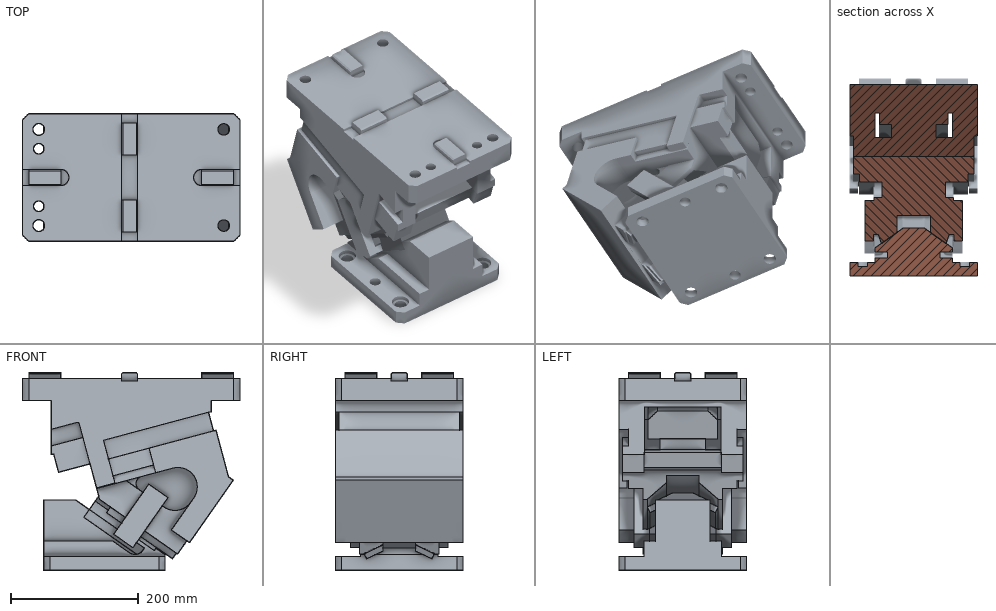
import cadquery as cq
import math


LENGTH = 340.0
WIDTH = 200.0
HEIGHT = 309.0
HALF_WIDTH = WIDTH / 2
CLEAR = 680.0

SLIDE_ANGLE = 15.0
RAIL_ANGLE = 35.0
ROOF_ANGLE = 30.0

GUIDE_ORIGIN = (-54.5, 129.0)
RAIL_ORIGIN = (-74.0, 83.0)


def direction(angle):
    return (math.cos(math.radians(angle)), math.sin(math.radians(angle)))


def framed(origin, angle, along, above):
    """X, Z of a point given along and square to a line through origin."""
    ax, az = direction(angle)
    return (origin[0] + along * ax - above * az, origin[1] + along * az + above * ax)


def guide(along, above):
    return framed(GUIDE_ORIGIN, SLIDE_ANGLE, along, above)


def rail(along, above):
    return framed(RAIL_ORIGIN, -RAIL_ANGLE, along, above)


def crossing(p, p_angle, q, q_angle):
    """Point where the line through p meets the line through q."""
    px, pz = direction(p_angle)
    qx, qz = direction(q_angle)
    step = ((q[0] - p[0]) * qz - (q[1] - p[1]) * qx) / (px * qz - pz * qx)
    return (p[0] + step * px, p[1] + step * pz)


def centred(outline, half_width):
    """Prism across Y from an X-Z outline."""
    return cq.Workplane("XZ").polyline(outline).close().extrude(half_width, both=True)


def outside(body, inner):
    """The parts of a body farther from the middle plane than inner."""
    return body.cut(cq.Workplane("XY").box(2 * CLEAR, 2 * inner, 2 * CLEAR))


def both_sides(outline, inner, outer):
    """Two mirrored prisms between the distances inner and outer from the middle plane."""
    return outside(centred(outline, outer), inner)


def box_outline(frame, start, end, low, high):
    return [frame(start, low), frame(end, low), frame(end, high), frame(start, high)]


def along_rail(half_section, start, end):
    """Symmetric section (Y, height above the rail line) swept along the rail."""
    section = half_section + [(-y, height) for y, height in reversed(half_section)]
    x, z = rail(start, 0)
    dx, dz = direction(-RAIL_ANGLE)
    plane = cq.Plane(origin=(x, 0, z), xDir=(0, 1, 0), normal=(dx, 0, dz))
    return cq.Workplane(plane).polyline(section).close().extrude(end - start)


def chamfered_plate(length, thickness, corner, x, z):
    plate = cq.Workplane("XY").box(length, WIDTH, thickness, centered=(True, True, False))
    return plate.edges("|Z").chamfer(corner).translate((x, 0, z))


def drill(body, points, diameter, depth, top):
    floor = cq.Workplane("XY", origin=(0, 0, top - depth))
    return body.cut(floor.pushPoints(points).circle(diameter / 2).extrude(depth))


PLATE_CORNER = 10.0

ROOF_FLAT_HALF = 17.0
ROOF_TOP = 46.0


def roof_height(y):
    return ROOF_TOP - (y - ROOF_FLAT_HALF) * math.tan(math.radians(ROOF_ANGLE))


BASE_LEFT = -137.0
BASE_RIGHT = 53.0
BASE_PLATE = 22.0
TIER_TOP = 45.5
TIER_HALF = 61.0
BLOCK_TOP = 110.0
BLOCK_HALF = 43.0
JAW_BOTTOM = 15.0
JAW_START = 67.0
RAIL_END = 120.0
TAIL_TOP = 25.0
SIDE_GROOVE_DEPTH = 1.7
FOOT_SLOT_START = -17.0
FOOT_SLOT_END = 105.0
FOOT_SLOT_FLOOR = -4.5
FOOT_SLOT_RADIUS = 15.0
BASE_HOLE_Y = 80.0
BASE_HOLE_EDGE = 25.0
BASE_BOLT = 19.0
BASE_BOLT_HEAD = 27.0
BASE_HEAD_DEPTH = 6.0
BASE_DOWEL = 17.5
BASE_DOWEL_X = -49.0
BASE_DOWEL_Y = 82.3


def stepped_outline(top):
    """Outline of a base step: level top, then the slope below the rail, then the tail."""
    slope_start = crossing((BASE_LEFT, top), 0, rail(0, JAW_BOTTOM), -RAIL_ANGLE)
    tail_end = crossing(rail(0, TAIL_TOP), -RAIL_ANGLE, (BASE_RIGHT, 0), 90)
    return [
        (BASE_LEFT, 0),
        (BASE_LEFT, top),
        slope_start,
        rail(RAIL_END, JAW_BOTTOM),
        rail(RAIL_END, TAIL_TOP),
        tail_end,
        (BASE_RIGHT, 0),
    ]


def roofed_bar(half_width, bottom, start):
    half_section = [
        (half_width, bottom),
        (half_width, roof_height(half_width)),
        (ROOF_FLAT_HALF, ROOF_TOP),
    ]
    return along_rail(half_section, start, RAIL_END)


def foot_slots():
    """Slots below the jaws for the feet of the slide, rounded at the closed lower end."""
    outline = box_outline(rail, FOOT_SLOT_START, FOOT_SLOT_END, FOOT_SLOT_FLOOR, JAW_BOTTOM)
    slots = both_sides(outline, BLOCK_HALF, HALF_WIDTH)
    corner_x, corner_z = rail(FOOT_SLOT_END, FOOT_SLOT_FLOOR)
    near = 0.5
    corner = cq.selectors.BoxSelector(
        (corner_x - near, -HALF_WIDTH, corner_z - near), (corner_x + near, HALF_WIDTH, corner_z + near)
    )
    return slots.edges("|Y").edges(corner).fillet(FOOT_SLOT_RADIUS)


def make_base():
    middle = (BASE_LEFT + BASE_RIGHT) / 2
    base = chamfered_plate(BASE_RIGHT - BASE_LEFT, BASE_PLATE, PLATE_CORNER, middle, 0)
    base = base.union(centred(stepped_outline(TIER_TOP), TIER_HALF))
    base = base.union(centred(stepped_outline(BLOCK_TOP), BLOCK_HALF))
    base = base.cut(foot_slots())
    base = base.union(roofed_bar(BLOCK_HALF, 0, 0)).union(roofed_bar(TIER_HALF, JAW_BOTTOM, JAW_START))
    groove = box_outline(rail, 0, FOOT_SLOT_END, 0, JAW_BOTTOM)
    base = base.cut(both_sides(groove, BLOCK_HALF - SIDE_GROOVE_DEPTH, BLOCK_HALF))

    rows = (-BASE_HOLE_Y, BASE_HOLE_Y)
    bolts = [(x, y) for x in (BASE_LEFT + BASE_HOLE_EDGE, BASE_RIGHT - BASE_HOLE_EDGE) for y in rows]
    base = drill(base, bolts, BASE_BOLT, BASE_PLATE, BASE_PLATE)
    base = drill(base, bolts, BASE_BOLT_HEAD, BASE_HEAD_DEPTH, BASE_PLATE)
    dowels = [(BASE_DOWEL_X, y) for y in (-BASE_DOWEL_Y, BASE_DOWEL_Y)]
    return drill(base, dowels, BASE_DOWEL, BASE_PLATE, BASE_PLATE)


GUIDE_FACE = 38.8
FLANGE_HALF = 94.5
HOOK_TOP = 11.5
HOOK_INNER = 87.0
LEG_WIDTH = 30.0

SLIDE_RIGHT = 204.0
CHEEK_START = 95.5
NECK_HALF = 85.0
CUTOUT_TOP = -1.0
CUTOUT_RADIUS = 30.3
CHEEK_INNER_END = 123.5
CHEEK_OUTER_END = 158.0
CHEEK_BOTTOM = 62.2
CHEEK_SHOULDER = 181.5
CORE_HALF = 62.2
CORE_END = 153.0
CORE_BOTTOM = 37.0
VEE_HALF = 55.5
VEE_SLOT_HALF = 25.5
VEE_SLOT_TOP = 62.0
LIP_START = 24.8
LIP_END = 150.5
LIP_HALF = 51.0
BRACKET_START = 53.5
BRACKET_END = 90.0
BRACKET_BOTTOM = 5.0
BRACKET_TOP = 100.5
BRACKET_OUTER = 76.5
FOOT_INNER = 51.7
POCKET_DEPTH = 12.2
POCKET_BOTTOM = 85.0
POCKET_RADIUS = 11.5
RECESS_DEPTH = 1.0

CUTOUT_CENTRE = crossing(
    guide(0, CUTOUT_TOP - CUTOUT_RADIUS),
    SLIDE_ANGLE,
    rail(CHEEK_INNER_END - CUTOUT_RADIUS, 0),
    90 - RAIL_ANGLE,
)

SHOULDER_CORNER = crossing(
    guide(SLIDE_RIGHT, 0), 90 + SLIDE_ANGLE, rail(0, CHEEK_SHOULDER), -RAIL_ANGLE
)


def on_cutout(angle):
    """Point of the round end of the cutout at an angle from +X."""
    dx, dz = direction(angle)
    return (CUTOUT_CENTRE[0] + CUTOUT_RADIUS * dx, CUTOUT_CENTRE[1] + CUTOUT_RADIUS * dz)


def slide_cheeks():
    """Full-width right part of the slide, undercut by the round end of the cutout."""
    outline = (
        cq.Workplane("XZ")
        .moveTo(*guide(CHEEK_START, CUTOUT_TOP))
        .lineTo(*guide(CHEEK_START, GUIDE_FACE))
        .lineTo(*guide(SLIDE_RIGHT, GUIDE_FACE))
        .lineTo(*SHOULDER_CORNER)
        .lineTo(*rail(CHEEK_OUTER_END, CHEEK_SHOULDER))
        .lineTo(*rail(CHEEK_OUTER_END, CHEEK_BOTTOM))
        .lineTo(*rail(CHEEK_INNER_END, CHEEK_BOTTOM))
        .lineTo(*on_cutout(-RAIL_ANGLE))
        .threePointArc(on_cutout(SLIDE_ANGLE), on_cutout(90 + SLIDE_ANGLE))
        .close()
    )
    return outline.extrude(HALF_WIDTH, both=True)


def slide_core():
    """Narrow body below the flange, down to the rail."""
    left_bottom = crossing(guide(0, 0), 90 + SLIDE_ANGLE, rail(0, CORE_BOTTOM), -RAIL_ANGLE)
    outline = [
        guide(0, CUTOUT_TOP),
        left_bottom,
        rail(CORE_END, CORE_BOTTOM),
        rail(CORE_END, CHEEK_SHOULDER),
        SHOULDER_CORNER,
        guide(SLIDE_RIGHT, CUTOUT_TOP),
    ]
    return centred(outline, CORE_HALF)


VEE_RIDGE = CORE_BOTTOM + (VEE_HALF - VEE_SLOT_HALF) * math.tan(math.radians(ROOF_ANGLE))


def vee_groove():
    """Groove with two roof slopes in the underside."""
    half_section = [(VEE_HALF, 0), (VEE_HALF, CORE_BOTTOM), (VEE_SLOT_HALF, VEE_RIDGE)]
    return along_rail(half_section, -CLEAR, CLEAR)


def slide_lips():
    """Thick strips on the groove slopes that rest on the rail roof."""
    half_section = [
        (VEE_SLOT_HALF, roof_height(VEE_SLOT_HALF)),
        (LIP_HALF, roof_height(LIP_HALF)),
        (VEE_HALF, CORE_BOTTOM),
        (VEE_SLOT_HALF, VEE_RIDGE),
    ]
    return along_rail(half_section, LIP_START, LIP_END)


def ridge_slot():
    """Square slot above the ridge of the rail, between the two lips."""
    return along_rail([(VEE_SLOT_HALF, 0), (VEE_SLOT_HALF, VEE_SLOT_TOP)], -CLEAR, CLEAR)


def side_wedge():
    """Full-width prism between the flange, the cheek and the rail slope, rounded at the cheek."""
    apex = crossing(guide(0, CUTOUT_TOP), SLIDE_ANGLE, rail(0, POCKET_BOTTOM), -RAIL_ANGLE)
    right = crossing(guide(0, CUTOUT_TOP), SLIDE_ANGLE, rail(CHEEK_INNER_END, 0), 90 - RAIL_ANGLE)
    wedge = centred([apex, rail(CHEEK_INNER_END, POCKET_BOTTOM), right], CORE_HALF)
    return wedge.edges("|Y").edges(">X or <Z").fillet(CUTOUT_RADIUS)


def side_pockets():
    """Pocket in each core side: a shallow wedge with a deeper one, rounded at its apex, inside it."""
    rounded = side_wedge().edges("|Y").edges("<X").fillet(POCKET_RADIUS)
    return outside(side_wedge(), CORE_HALF - RECESS_DEPTH).union(outside(rounded, CORE_HALF - POCKET_DEPTH))


def slide_brackets():
    """Straps on both sides with feet turned in below the jaws of the base."""
    strap = box_outline(rail, BRACKET_START, BRACKET_END, BRACKET_BOTTOM, BRACKET_TOP)
    foot = box_outline(rail, BRACKET_START, BRACKET_END, BRACKET_BOTTOM, JAW_BOTTOM)
    return both_sides(strap, CORE_HALF, BRACKET_OUTER).union(both_sides(foot, FOOT_INNER, CORE_HALF))


def make_slide():
    flange = centred(box_outline(guide, 0, CHEEK_START, HOOK_TOP, GUIDE_FACE), FLANGE_HALF)
    neck = centred(box_outline(guide, 0, CHEEK_START, CUTOUT_TOP, HOOK_TOP), NECK_HALF)
    slide = slide_cheeks().union(flange).union(neck).union(slide_core())
    slide = slide.cut(vee_groove()).union(slide_lips()).cut(ridge_slot())
    slide = slide.cut(side_pockets())
    return slide.union(slide_brackets())


KEY_RISE = 9.0
HOLDER_TOP = HEIGHT - KEY_RISE
HOLDER_PLATE = 35.0
PLATE_BOTTOM = HOLDER_TOP - HOLDER_PLATE
BODY_HALF = 125.0
BODY_LEFT_BOTTOM = 181.2
BLOCK_LEFT = -51.0
BLOCK_RIGHT = 200.0
SIDE_FACE_BOTTOM = 69.0
GROOVE_LOW = 81.5
GROOVE_HIGH = 106.8
GROOVE_INNER = 85.0
GROOVE_FILLET = 3.0

CAVITY_HALF = 60.0
CAVITY_TOP = 255.0
CAVITY_BACK = 161.5
FRONT_NOTCH_HALF = 61.0
FLOOR_STEP = 1.0
CROSSBAR_LEFT = -40.5
CROSSBAR_TOP = 68.5
CROSSBAR_CHAMFER = 5.0
HEAD_FACE = -26.0
HEAD_HALF = 54.0
HEAD_LOW = 86.5
HEAD_HIGH = 131.2
HEAD_CHAMFER = 14.3
POST_FACE = -23.5
POST_HALF = 35.5

KEY_LENGTH = 50.0
KEY_WIDTH = 25.0
KEY_SINK = 4.0
KEY_CHAMFER = 2.0
CROSS_SLOT_X = -2.7
CROSS_KEY_Y = 60.0
END_KEY_X = 135.0

HOLDER_HOLE_X = 144.5
HOLDER_BOLT_Y = 75.0
HOLDER_BOLT = 18.0
HOLDER_DOWEL_Y = 45.0
HOLDER_DOWEL = 16.0


def holder_body():
    """Body below the plate: wide upper part, narrower guide block, grooves and hooked legs."""
    right_corner = guide(BLOCK_RIGHT, SIDE_FACE_BOTTOM)
    right_end = [right_corner, (BODY_HALF, right_corner[1]), (BODY_HALF, PLATE_BOTTOM)]
    left_corner = crossing(guide(BLOCK_LEFT, 0), 90 + SLIDE_ANGLE, (0, BODY_LEFT_BOTTOM), 0)
    block = [
        (-BODY_HALF, PLATE_BOTTOM),
        (-BODY_HALF, BODY_LEFT_BOTTOM),
        left_corner,
        guide(BLOCK_LEFT, GUIDE_FACE),
        guide(BLOCK_RIGHT, GUIDE_FACE),
        *right_end,
    ]
    upper = [
        (-BODY_HALF, PLATE_BOTTOM),
        crossing((-BODY_HALF, 0), 90, guide(0, GROOVE_LOW), SLIDE_ANGLE),
        guide(0, GROOVE_LOW),
        guide(0, SIDE_FACE_BOTTOM),
        *right_end,
    ]
    body = centred(block, FLANGE_HALF).union(centred(upper, HALF_WIDTH))
    body = body.union(both_sides(box_outline(guide, 0, LEG_WIDTH, 0, GROOVE_LOW), FLANGE_HALF, HALF_WIDTH))
    body = body.union(both_sides(box_outline(guide, 0, LEG_WIDTH, 0, HOOK_TOP), HOOK_INNER, FLANGE_HALF))

    groove = centred(box_outline(guide, -CLEAR, 0, GROOVE_LOW, GROOVE_HIGH), HALF_WIDTH)
    groove = groove.edges("|Y").edges(">Z").fillet(GROOVE_FILLET)
    return body.cut(outside(groove, GROOVE_INNER))


def holder_cavity():
    """Inclined cavity between the cheeks, open to the left above the crossbar."""
    floor = CROSSBAR_TOP - FLOOR_STEP
    wall = guide(CAVITY_BACK, floor)
    outline = [
        (-LENGTH / 2, CAVITY_TOP),
        crossing(wall, 90 + SLIDE_ANGLE, (0, CAVITY_TOP), 0),
        wall,
        guide(POST_FACE, floor),
        guide(POST_FACE, CROSSBAR_TOP),
        crossing((-LENGTH / 2, 0), 90, guide(0, CROSSBAR_TOP), SLIDE_ANGLE),
    ]
    return centred(outline, CAVITY_HALF)


def front_notch():
    """Gap between the ends of the guide block, in front of the chamfered crossbar."""
    outline = [
        guide(-CLEAR, CROSSBAR_TOP),
        guide(CROSSBAR_LEFT, CROSSBAR_TOP),
        guide(CROSSBAR_LEFT, GUIDE_FACE + CROSSBAR_CHAMFER),
        guide(CROSSBAR_LEFT + CROSSBAR_CHAMFER, GUIDE_FACE),
        guide(-CLEAR, GUIDE_FACE),
    ]
    return centred(outline, FRONT_NOTCH_HALF)


def cavity_head():
    """T-shaped bar through the cavity, from its back wall to the crossbar."""
    head = centred(box_outline(guide, HEAD_FACE, CAVITY_BACK, HEAD_LOW, HEAD_HIGH), HEAD_HALF)
    along_x, along_z = direction(SLIDE_ANGLE)
    upward = cq.selectors.DirectionMinMaxSelector(cq.Vector(-along_z, 0, along_x))
    lengthwise = cq.selectors.ParallelDirSelector(cq.Vector(along_x, 0, along_z))
    head = head.faces(upward).edges(lengthwise).chamfer(HEAD_CHAMFER)
    post = box_outline(guide, POST_FACE, CAVITY_BACK, CROSSBAR_TOP - FLOOR_STEP, HEAD_LOW)
    return head.union(centred(post, POST_HALF))


def key(x, y, turned):
    """Locating key with chamfered long top edges, lying along X or turned along Y."""
    height = KEY_RISE + KEY_SINK
    bar = cq.Workplane("XY").box(KEY_LENGTH, KEY_WIDTH, height, centered=(True, True, False))
    bar = bar.faces(">Z").edges("|X").chamfer(KEY_CHAMFER)
    if turned:
        bar = bar.rotate((0, 0, 0), (0, 0, 1), 90)
    return bar.translate((x, y, HOLDER_TOP - KEY_SINK))


def keyways():
    """One slot across the plate and a round-ended slot from each end."""
    floor = cq.Workplane("XY", origin=(0, 0, HOLDER_TOP - KEY_SINK))
    cut = floor.center(CROSS_SLOT_X, 0).rect(KEY_WIDTH, WIDTH).extrude(KEY_SINK)
    round_centre = END_KEY_X - KEY_LENGTH / 2
    slot_length = 2 * (LENGTH / 2 - round_centre) + KEY_WIDTH
    for side in (-1, 1):
        slot = floor.center(side * LENGTH / 2, 0).slot2D(slot_length, KEY_WIDTH).extrude(KEY_SINK)
        cut = cut.union(slot)
    return cut


def make_holder():
    holder = chamfered_plate(LENGTH, HOLDER_PLATE, PLATE_CORNER, 0, PLATE_BOTTOM).union(holder_body())
    holder = holder.cut(holder_cavity()).cut(front_notch()).union(cavity_head()).cut(keyways())
    for side in (-1, 1):
        holder = holder.union(key(side * END_KEY_X, 0, False))
        holder = holder.union(key(CROSS_SLOT_X, side * CROSS_KEY_Y, True))

    bolts = [(x, y) for x in (-HOLDER_HOLE_X, HOLDER_HOLE_X) for y in (-HOLDER_BOLT_Y, HOLDER_BOLT_Y)]
    holder = drill(holder, bolts, HOLDER_BOLT, HOLDER_PLATE, HOLDER_TOP)
    dowels = [(-HOLDER_HOLE_X, y) for y in (-HOLDER_DOWEL_Y, HOLDER_DOWEL_Y)]
    return drill(holder, dowels, HOLDER_DOWEL, HOLDER_PLATE, HOLDER_TOP)


base = make_base()
slide = make_slide()
holder = make_holder()
result = cq.Compound.makeCompound([base.val(), slide.val(), holder.val()])